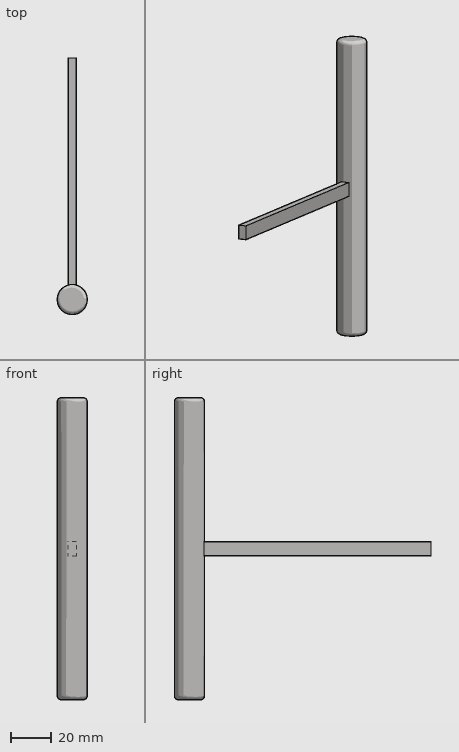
import cadquery as cq

rod_length = 150.0
rod_diameter = 15.0
rod_end_fillet = 2.0

overall_depth = 127.5
arm_width = 4.0
arm_height = 7.0
arm_reach = overall_depth - rod_diameter / 2


def make_rod():
    rod = cq.Workplane("XY").cylinder(rod_length, rod_diameter / 2)
    return rod.faces("|Z").edges().fillet(rod_end_fillet)


def make_arm():
    return cq.Workplane("XY").box(arm_width, arm_reach, arm_height, centered=(True, False, True))


result = make_rod().union(make_arm())